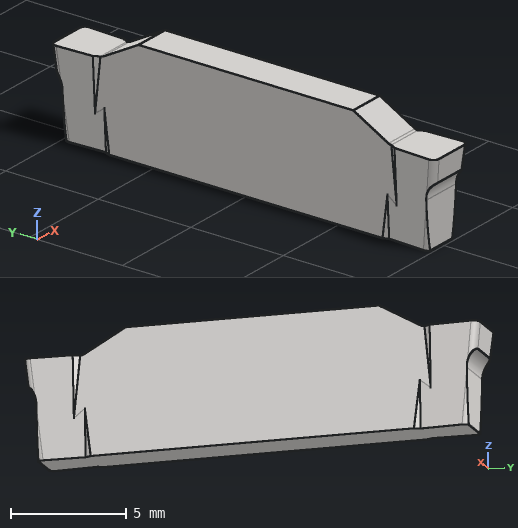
import cadquery as cq
import math

length = 20.8
body_width = 1.95
body_height = 5.68
ridge_length = 11.61
slope_foot_y = 7.78
slope_foot_radius = 0.31

head_height = 4.58
head_width = 2.45
back_taper = 0.045
side_draft = 0.058
front_draft = 0.11
corner_radius = 0.31

lip_bottom_z = 3.37
wall_top_z = 2.52
wall_y = 9.85

root_y = 7.65
relief_start_y = 7.39
shoulder_start_y = 7.87
shoulder_end_y = 8.15

tip_y = length / 2
body_side = body_width / 2
tip_half_width = head_width / 2 + back_taper * corner_radius
base_front_y = tip_y - front_draft * head_height


def head_side(y, z):
    """Half width of the drafted head at a given place."""
    return tip_half_width - back_taper * (tip_y - y) - side_draft * (head_height - z)


def crossing_height(y):
    """Height at which the drafted head side meets the body side."""
    return (body_side - head_side(y, 0)) / side_draft


def polyhedron(points, faces):
    """Solid bounded by flat faces, each given as a list of point indices."""
    walls = []
    for face in faces:
        corners = [cq.Vector(*points[i]) for i in face]
        walls.append(cq.Face.makeFromWires(cq.Wire.makePolygon(corners, close=True)))
    solid = cq.Solid.makeSolid(cq.Shell.makeShell(walls))
    return cq.Workplane(obj=solid.fix())


def tetrahedron(points):
    return polyhedron(points, [(0, 1, 2), (0, 1, 3), (0, 2, 3), (1, 2, 3)])


def box_between(low, high):
    size = [b - a for a, b in zip(low, high)]
    return cq.Workplane().box(*size, centered=False).translate(low)


def on_both_sides(shape):
    return shape.union(shape.mirror("YZ"))


def half_body():
    """Half of the bar, its base cut away where the head side runs below the body side."""
    root_z = crossing_height(root_y)
    bar = (
        cq.Workplane("YZ")
        .polyline([
            (0, 0),
            (root_y, 0),
            (root_y, root_z),
            (shoulder_end_y, root_z),
            (shoulder_end_y, head_height),
            (slope_foot_y, head_height),
            (ridge_length / 2, body_height),
            (0, body_height),
        ])
        .close()
        .extrude(body_side, both=True)
    )
    foot = cq.selectors.NearestToPointSelector((0, slope_foot_y, head_height))
    bar = bar.edges("|X").edges(foot).fillet(slope_foot_radius)
    relief = tetrahedron([
        (body_side, relief_start_y, 0),
        (body_side, root_y, root_z),
        (head_side(root_y, 0), root_y, 0),
        (body_side, root_y, 0),
    ])
    return bar.cut(on_both_sides(relief))


def drafted_block():
    """Tapered block of the head with its two front corners rounded."""
    points = []
    for z, front_y in ((0, base_front_y), (head_height, tip_y)):
        rear = head_side(root_y, z)
        front = head_side(front_y, z)
        points += [(-rear, root_y, z), (rear, root_y, z), (front, front_y, z), (-front, front_y, z)]
    block = polyhedron(points, [
        (0, 1, 2, 3), (4, 5, 6, 7), (0, 1, 5, 4), (1, 2, 6, 5), (2, 3, 7, 6), (3, 0, 4, 7),
    ])
    middle_y = (tip_y + base_front_y) / 2
    middle_z = head_height / 2
    for side in (-1, 1):
        corner = (side * head_side(middle_y, middle_z), middle_y, middle_z)
        block = block.edges(cq.selectors.NearestToPointSelector(corner)).fillet(corner_radius)
    return block


def front_clearance():
    """Space below the lip; its arc runs tangent into the upright wall."""
    lip_y = tip_y - front_draft * (head_height - lip_bottom_z)
    overhang = lip_y - wall_y
    rise = lip_bottom_z - wall_top_z
    radius = (overhang**2 + rise**2) / (2 * overhang)
    half_angle = math.asin(rise / radius) / 2
    middle = (
        wall_y + radius * (1 - math.cos(half_angle)),
        wall_top_z + radius * math.sin(half_angle),
    )
    return (
        cq.Workplane("YZ")
        .moveTo(wall_y, 0)
        .lineTo(wall_y, wall_top_z)
        .threePointArc(middle, (lip_y, lip_bottom_z))
        .lineTo(tip_y, lip_bottom_z)
        .lineTo(tip_y, 0)
        .close()
        .extrude(tip_half_width, both=True)
    )


def head():
    """Head flush with the body at its rear, widening through a slanted shoulder."""
    rear_strip = box_between((body_side, root_y, 0), (tip_half_width, shoulder_end_y, head_height))
    shoulder = tetrahedron([
        (body_side, shoulder_start_y, head_height),
        (body_side, shoulder_end_y, head_height),
        (head_side(shoulder_end_y, head_height), shoulder_end_y, head_height),
        (body_side, shoulder_end_y, crossing_height(shoulder_end_y)),
    ])
    block = drafted_block().cut(front_clearance()).cut(on_both_sides(rear_strip))
    return block.union(on_both_sides(shoulder))


half_part = half_body().union(head())
result = half_part.union(half_part.mirror("XZ")).clean()